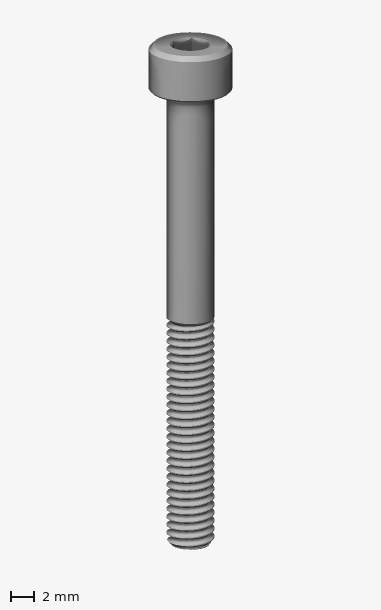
import cadquery as cq
import math

total_length = 44.0
head_diameter = 7.0
head_height = 4.0
shank_diameter = 4.0
thread_length = 20.0

head_top_chamfer = 0.4
head_bottom_chamfer = 0.18

socket_across_flats = 3.0
socket_depth = 2.2

root_radius = 1.6
thread_turns = 28.5
crest_width = 0.1
flank_angle = math.radians(30)
thread_start_angle = 90.0
tip_chamfer = 0.45

head_radius = head_diameter / 2
shank_radius = shank_diameter / 2
head_bottom = total_length - head_height
socket_corner_diameter = socket_across_flats / math.cos(math.pi / 6)
thread_depth = shank_radius - root_radius
shoulder_bottom = thread_length - thread_depth
pitch = thread_length / thread_turns


def make_head():
    head = cq.Workplane("XY").workplane(offset=head_bottom).circle(head_radius).extrude(head_height)
    head = head.faces(">Z").chamfer(head_top_chamfer)
    return head.faces("<Z").chamfer(head_bottom_chamfer)


def make_socket():
    """Hexagonal recess whose mouth is countersunk out to the hexagon corners."""
    hexagon = (
        cq.Workplane("XY")
        .workplane(offset=total_length - socket_depth)
        .polygon(6, socket_corner_diameter)
        .extrude(socket_depth)
        .rotate((0, 0, 0), (0, 0, 1), 90)
    )
    corner_radius = socket_corner_diameter / 2
    countersink = (
        cq.Workplane("XZ")
        .moveTo(0, total_length)
        .lineTo(corner_radius, total_length)
        .lineTo(0, total_length - corner_radius)
        .close()
        .revolve(360, (0, 0, 0), (0, 1, 0))
    )
    return hexagon.union(countersink)


def make_shank():
    """Plain shank that tapers at 45 degrees down to the thread core."""
    return (
        cq.Workplane("XZ")
        .moveTo(0, 0)
        .lineTo(root_radius, 0)
        .lineTo(root_radius, shoulder_bottom)
        .lineTo(shank_radius, thread_length)
        .lineTo(shank_radius, head_bottom)
        .lineTo(0, head_bottom)
        .close()
        .revolve(360, (0, 0, 0), (0, 1, 0))
    )


def make_thread_ridge():
    """Right-handed helical ridge, cut flat at the top of the shoulder taper and chamfered at the tip."""
    root_overlap = 0.05
    base_radius = root_radius - root_overlap
    crest_half = crest_width / 2
    base_half = crest_half + (shank_radius - base_radius) * math.tan(flank_angle)
    profile = [
        (base_radius, -base_half),
        (shank_radius, -crest_half),
        (shank_radius, crest_half),
        (base_radius, base_half),
    ]

    helix_length = thread_length + pitch
    helices = [
        cq.Wire.makeHelix(pitch, helix_length, radius).translate(cq.Vector(0, 0, height - pitch))
        for radius, height in profile
    ]
    neighbours = helices[1:] + helices[:1]
    faces = [cq.Face.makeRuledSurface(first, second) for first, second in zip(helices, neighbours)]
    for end in (0, 1):
        corners = [helix.positionAt(end) for helix in helices]
        faces.append(cq.Face.makeFromWires(cq.Wire.makePolygon(corners, close=True)))
    ridge = cq.Workplane(cq.Solid.makeSolid(cq.Shell.makeShell(faces)))
    ridge = ridge.rotate((0, 0, 0), (0, 0, 1), thread_start_angle)

    clearance = 0.45
    envelope = (
        cq.Workplane("XY")
        .circle(shank_radius + clearance)
        .extrude(thread_length)
        .faces("<Z")
        .chamfer(tip_chamfer + clearance)
    )
    return ridge.intersect(envelope)


result = make_shank().union(make_thread_ridge()).union(make_head()).cut(make_socket())